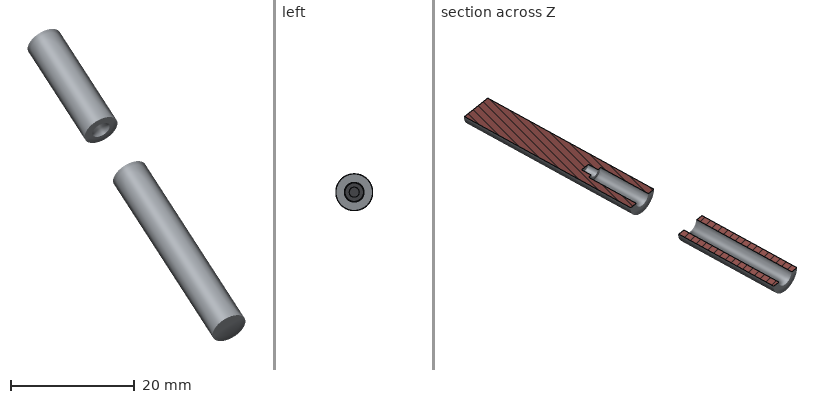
import cadquery as cq

total_length = 65.0
front_length = 20.0
rear_length = 35.0
sleeve_diameter = 6.0

front_bore_diameter = 3.2

rear_bore_diameter = 3.0
rear_bore_depth = 10.0
pilot_diameter = 1.6
pilot_depth = 12.0

front_start = -total_length / 2
rear_start = total_length / 2 - rear_length


def cylinder(start_x, length, diameter):
    """Solid cylinder on the X axis, running toward +X from start_x and seamed along -Y."""
    section = cq.Plane(origin=(start_x, 0, 0), xDir=(0, -1, 0), normal=(1, 0, 0))
    return cq.Workplane(section).circle(diameter / 2).extrude(length)


def make_front_sleeve():
    """Short round sleeve, bored through."""
    body = cylinder(front_start, front_length, sleeve_diameter)
    return body.cut(cylinder(front_start, front_length, front_bore_diameter))


def make_rear_sleeve():
    """Long round sleeve with a stepped blind bore."""
    body = cylinder(rear_start, rear_length, sleeve_diameter)
    body = body.cut(cylinder(rear_start, rear_bore_depth, rear_bore_diameter))
    return body.cut(cylinder(rear_start, pilot_depth, pilot_diameter))


front_sleeve = make_front_sleeve()
rear_sleeve = make_rear_sleeve()

result = cq.Compound.makeCompound([front_sleeve.val(), rear_sleeve.val()])